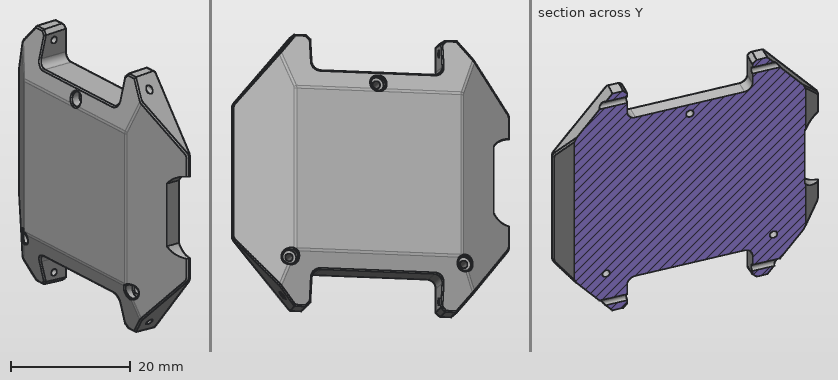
import cadquery as cq
import math

width = 47.5
depth = 6.5
height = 46.5

side_half_height = 11.35
lug_end_half_width = 13.78
outline_fillet = 1.42

panel_half_width = 14.3
panel_half_height = 13.8
side_wall_depth = 0.5
lug_end_depth = 4.25
lug_end_draft = 0.165
lug_back_chamfer = 0.25
edge_chamfer = 0.25

notch_half_width = 11.15
notch_floor = 16.95
notch_fillet = 1.42
lug_corner_chamfer = 0.75

relief_floor_x = 20.6
relief_height = 14.8
relief_radius = 3.7

screw_diameter = 1.3
screw_bore_diameter = 2.4
rim_chamfer = 0.25
screw_bore_floor = 4.65
screw_offset = 14.95
screw_places = [(0, screw_offset), (-screw_offset, -screw_offset), (screw_offset, -screw_offset)]

pin_diameter = 1.2
pin_depth = 2.45
pin_half_spacing = 21.05

half_width = width / 2
half_height = height / 2
drafted_half_height = half_height - lug_end_draft
tolerance = 0.005
front_normal_limit = -0.5


def extrude_back_to_front(sketch):
    """Extrude an XZ sketch from the back face to the front face."""
    return sketch.extrude(depth)


def body():
    """Octagonal plate, tapered towards the front panel on all four sides."""
    plate = extrude_back_to_front(
        cq.Workplane("XZ").polyline([
            (-half_width, -side_half_height),
            (-lug_end_half_width, -half_height),
            (lug_end_half_width, -half_height),
            (half_width, -side_half_height),
            (half_width, side_half_height),
            (lug_end_half_width, half_height),
            (-lug_end_half_width, half_height),
            (-half_width, side_half_height),
        ]).close()
    ).edges("|Y and (<X or >X)").fillet(outline_fillet)
    side_taper = (
        cq.Workplane("XY").polyline([
            (-half_width, 0),
            (-half_width, -side_wall_depth),
            (-panel_half_width, -depth),
            (panel_half_width, -depth),
            (half_width, -side_wall_depth),
            (half_width, 0),
        ]).close().extrude(half_height, both=True)
    )
    lug_taper = (
        cq.Workplane("YZ").polyline([
            (0, -half_height + lug_back_chamfer),
            (-lug_back_chamfer, -half_height),
            (-lug_end_depth, -drafted_half_height),
            (-depth, -panel_half_height),
            (-depth, panel_half_height),
            (-lug_end_depth, drafted_half_height),
            (-lug_back_chamfer, half_height),
            (0, half_height - lug_back_chamfer),
        ]).close().extrude(half_width, both=True)
    )
    return plate.intersect(side_taper).intersect(lug_taper)


def lug_notch(direction):
    """Cutter for the gap between two lugs, rounded at its floor."""
    floor_side = "<Z" if direction > 0 else ">Z"
    return extrude_back_to_front(
        cq.Workplane("XZ").polyline([
            (-notch_half_width, direction * half_height),
            (-notch_half_width, direction * notch_floor),
            (notch_half_width, direction * notch_floor),
            (notch_half_width, direction * half_height),
        ]).close()
    ).faces(floor_side).edges("|Y").fillet(notch_fillet)


def is_lug_corner(edge):
    """True for the edge where a notch wall meets the leaning end of a lug."""
    middle = edge.Center()
    on_notch_wall = abs(abs(middle.x) - notch_half_width) < tolerance
    on_lug_end = drafted_half_height < abs(middle.z) < half_height
    return on_notch_wall and on_lug_end and middle.y < -lug_back_chamfer


def side_relief():
    """Cutter for the relief in the +X side: an upright slot centred on the edge, cut off flat."""
    slot = extrude_back_to_front(
        cq.Workplane("XZ").center(half_width, 0).slot2D(relief_height, 2 * relief_radius, 90)
    )
    beyond_floor = cq.Workplane("XY", origin=(relief_floor_x, 0, 0)).box(
        width, 2 * depth, height, centered=(False, True, True)
    )
    return slot.intersect(beyond_floor)


def screw_cutter(diameter, start):
    """Round cutters at the screw places, from a distance off the back face to the front."""
    return (
        cq.Workplane("XZ", origin=(0, -start, 0)).pushPoints(screw_places)
        .circle(diameter / 2).extrude(depth - start)
    )


def pin_holes():
    """Pin holes running along X through the lugs."""
    return (
        cq.Workplane("YZ")
        .pushPoints([(-pin_depth, -pin_half_spacing), (-pin_depth, pin_half_spacing)])
        .circle(pin_diameter / 2).extrude(half_width, both=True)
    )


def rim_chamfers(x, z):
    """Cones, one per front face near a screw, sheared so that each chamfer follows its face."""
    bore_radius = screw_bore_diameter / 2
    x_sign = math.copysign(1, x)
    z_sign = math.copysign(1, z)
    side_slope = (depth - side_wall_depth) / (half_width - panel_half_width)
    lug_slope = (depth - lug_end_depth) / (drafted_half_height - panel_half_height)
    side_level = -depth + side_slope * (abs(x) - panel_half_width)
    lug_level = -depth + lug_slope * (abs(z) - panel_half_height)
    faces = [
        (-depth, 0, (1, 0, 0), (0, 0, 1)),
        (side_level, side_slope, (x_sign, 0, 0), (0, 0, 1)),
        (lug_level, lug_slope, (0, 0, z_sign), (1, 0, 0)),
    ]
    cones = []
    for level, slope, outward, level_direction in faces:
        slope_direction = cq.Vector(*outward) + cq.Vector(0, slope, 0)
        normal = cq.Vector(*level_direction).cross(slope_direction)
        sections = []
        for offset in (rim_chamfer, -rim_chamfer):
            radius = bore_radius + rim_chamfer - offset
            long_radius = radius * slope_direction.Length
            center = cq.Vector(x, level + offset, z)
            sections.append(cq.Wire.makeEllipse(long_radius, radius, center, normal, slope_direction))
        cones.append(cq.Workplane(cq.Solid.makeLoft(sections, True)))
    return cones


result = body()
for direction in (-1, 1):
    result = result.cut(lug_notch(direction))

lug_corners = result.edges().filter(is_lug_corner)
result = result.newObject(lug_corners.vals()).chamfer(lug_corner_chamfer)

front_edges = result.faces().filter(lambda face: face.normalAt().y < front_normal_limit).edges()
result = result.newObject(front_edges.vals()).chamfer(edge_chamfer)
result = result.cut(side_relief()).cut(pin_holes())

result = result.cut(screw_cutter(screw_bore_diameter, screw_bore_floor))
for screw_place in screw_places:
    for rim in rim_chamfers(*screw_place):
        result = result.cut(rim)
result = result.cut(screw_cutter(screw_diameter, 0))